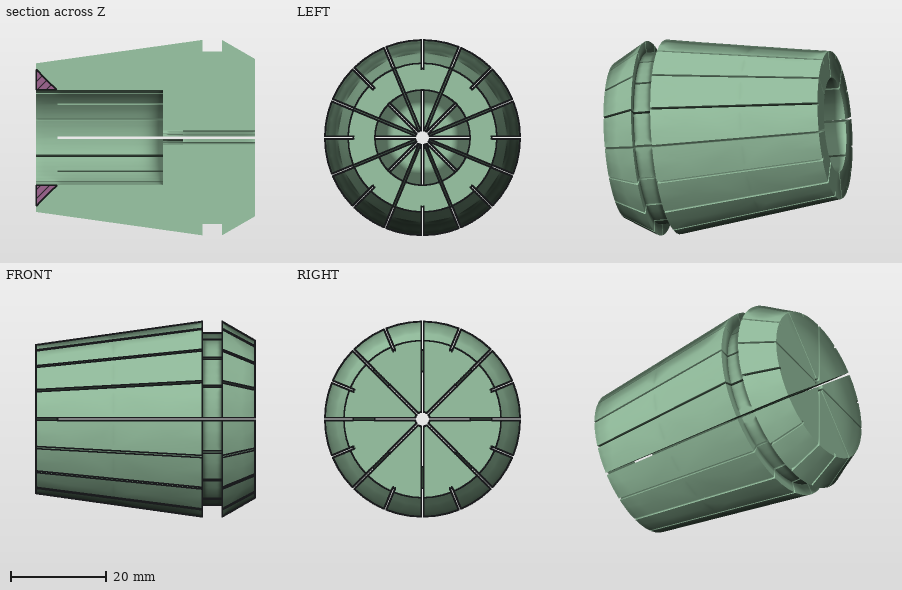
import cadquery as cq
import math

length = 46.0
max_radius = 41.0 / 2

taper_angle = 8.0
nose_angle = 30.0
groove_start = 34.9
groove_end = 39.05
groove_radius = 18.1
narrow_radius = max_radius - groove_start * math.tan(math.radians(taper_angle))
nose_radius = max_radius - (length - groove_end) * math.tan(math.radians(nose_angle))

large_bore_radius = 10.0
large_bore_depth = 26.7
clamp_bore_radius = 1.5

slot_count = 16
slot_width = 0.5
saw_radius = 40.0
narrow_face_runout = 14.55
nose_face_runout = 15.75
nose_side_saw_axis = 40.53
narrow_side_saw_axis = 36.8
overrun = 0.9


def make_body():
    """Revolve the half section about the X axis."""
    section = [
        (0, large_bore_radius),
        (0, narrow_radius),
        (groove_start, max_radius),
        (groove_start, groove_radius),
        (groove_end, groove_radius),
        (groove_end, max_radius),
        (length, nose_radius),
        (length, clamp_bore_radius),
        (large_bore_depth, clamp_bore_radius),
        (large_bore_depth, large_bore_radius),
    ]
    return cq.Workplane("XY").polyline(section).close().revolve(360, (0, 0, 0), (1, 0, 0))


def make_slot(open_x, closed_x, runout_radius, saw_axis, angle):
    """Thin radial cutter from the open_x face whose curved floor meets the closed_x face at runout_radius."""
    direction = math.copysign(1, closed_x - open_x)
    start_x = open_x - direction * overrun
    outer_radius = max_radius + overrun
    saw_x = closed_x - direction * math.sqrt(saw_radius**2 - (saw_axis - runout_radius) ** 2)

    def floor_point(radius):
        return (saw_x + direction * math.sqrt(saw_radius**2 - (saw_axis - radius) ** 2), radius)

    floor_radius = saw_axis - saw_radius
    floor_end = floor_point(floor_radius)
    arc_middle = floor_point((floor_radius + outer_radius) / 2)
    arc_end = floor_point(outer_radius)
    blade = (
        cq.Workplane("XY")
        .moveTo(start_x, floor_radius)
        .lineTo(*floor_end)
        .threePointArc(arc_middle, arc_end)
        .lineTo(start_x, outer_radius)
        .close()
        .extrude(slot_width / 2, both=True)
    )
    return blade.rotate((0, 0, 0), (1, 0, 0), angle)


result = make_body()
for index in range(slot_count):
    slot_angle = index * 360 / slot_count
    if index % 2 == 0:
        slot = make_slot(length, 0, narrow_face_runout, nose_side_saw_axis, slot_angle)
    else:
        slot = make_slot(0, length, nose_face_runout, narrow_side_saw_axis, slot_angle)
    result = result.cut(slot)